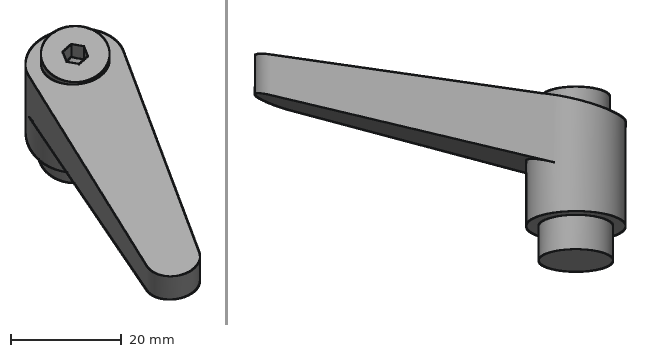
import cadquery as cq
import math

hub_radius = 9.0
total_length = 71.0
total_height = 45.66

sleeve_diameter = 13.5
sleeve_height = 6.5

screw_head_diameter = 12.4
screw_head_top = 31.0
socket_across_flats = 4.0
socket_depth = 4.0
socket_cone_angle = 120.0

tip_radius = 5.0
arm_top_angle = 15.36
arm_bottom_angle = 20.0
arm_tip_height = 7.3

tip_x = total_length - hub_radius
tip_center_x = tip_x - tip_radius
hub_low_top = total_height - total_length * math.tan(math.radians(arm_top_angle))
tip_bottom = total_height - arm_tip_height


def make_sleeve():
    """Narrower foot below the hub."""
    return cq.Workplane("XY").circle(sleeve_diameter / 2).extrude(sleeve_height)


def make_hub():
    """Upright cylinder, tall enough to be trimmed by the sloping top."""
    return (
        cq.Workplane("XY")
        .workplane(offset=sleeve_height)
        .circle(hub_radius)
        .extrude(total_height - sleeve_height)
    )


def make_arm_plan():
    """Tapered bar, its sides tangent to the hub circle and to the round tip."""
    sine = (hub_radius - tip_radius) / tip_center_x
    cosine = math.sqrt(1 - sine**2)
    hub_x = hub_radius * sine
    hub_y = hub_radius * cosine
    end_x = tip_center_x + tip_radius * sine
    end_y = tip_radius * cosine
    return (
        cq.Workplane("XY")
        .moveTo(hub_x, -hub_y)
        .lineTo(end_x, -end_y)
        .threePointArc((tip_x, 0), (end_x, end_y))
        .lineTo(hub_x, hub_y)
        .close()
        .extrude(total_height)
    )


def make_side_profile(lower_left_z, lower_right_z):
    """Full-width prism under the sloping top, resting on the given lower edge."""
    return (
        cq.Workplane("XZ")
        .moveTo(-hub_radius, lower_left_z)
        .lineTo(tip_x, lower_right_z)
        .lineTo(tip_x, total_height)
        .lineTo(-hub_radius, hub_low_top)
        .close()
        .extrude(hub_radius, both=True)
    )


def make_lever():
    """Hub and arm sharing one sloping top face."""
    arm_bottom_left = tip_bottom - total_length * math.tan(math.radians(arm_bottom_angle))
    arm = make_arm_plan().intersect(make_side_profile(arm_bottom_left, tip_bottom))
    hub = make_hub().intersect(make_side_profile(sleeve_height, sleeve_height))
    return hub.union(arm)


def make_screw_head():
    """Round screw head standing out of the sloping top, sunk into the hub."""
    return (
        cq.Workplane("XY")
        .workplane(offset=sleeve_height)
        .circle(screw_head_diameter / 2)
        .extrude(screw_head_top - sleeve_height)
    )


def make_socket():
    """Hexagonal socket, corners along X, with a drill-point bottom."""
    corner_radius = socket_across_flats / math.sqrt(3)
    cone_height = corner_radius / math.tan(math.radians(socket_cone_angle / 2))
    full_depth = socket_depth + cone_height
    hexagon = (
        cq.Workplane("XY")
        .workplane(offset=screw_head_top - full_depth)
        .polygon(6, 2 * corner_radius)
        .extrude(full_depth)
    )
    drill = (
        cq.Workplane("XZ")
        .moveTo(0, screw_head_top - full_depth)
        .lineTo(corner_radius, screw_head_top - socket_depth)
        .lineTo(corner_radius, screw_head_top)
        .lineTo(0, screw_head_top)
        .close()
        .revolve(360, (0, 0, 0), (0, 1, 0))
    )
    return hexagon.intersect(drill)


result = make_sleeve().union(make_lever()).union(make_screw_head()).cut(make_socket())